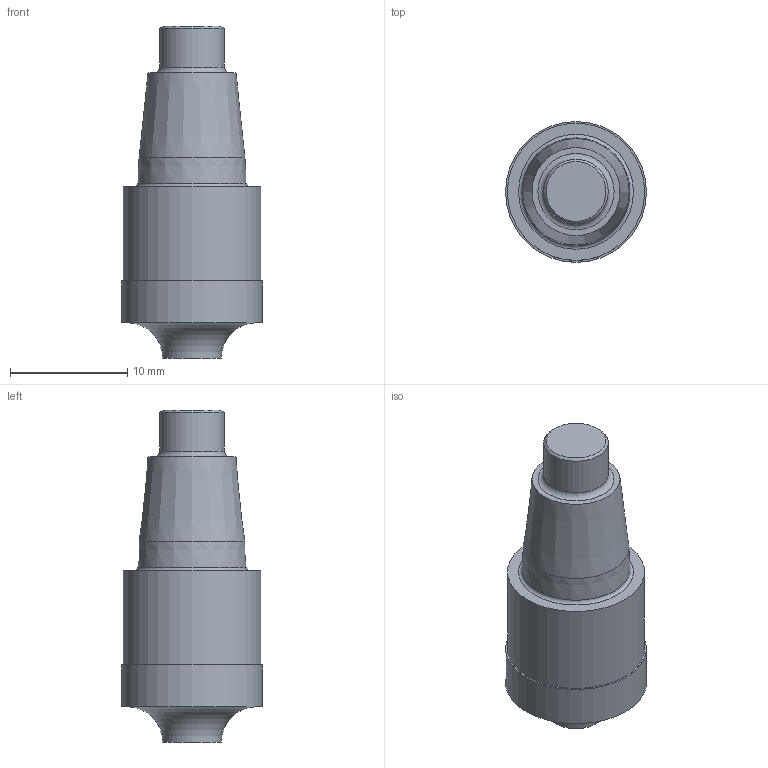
import cadquery as cq
import math

collar_radius = 12.0 / 2
neck_radius = 5.0 / 2
flare_radius = 3.0
collar_top = 6.57

barrel_radius = 11.7 / 2
barrel_top = 14.6
nose_base_radius = 4.6
nose_base_fillet = 0.3
taper_start = 17.1
taper_angle = math.radians(6.0)
shoulder_radius = 3.75
pin_radius = 5.5 / 2
pin_length = 4.0
pin_fillet = 0.5
pin_chamfer = 0.2
total_height = 28.3

shoulder_z = total_height - pin_length
taper_start_radius = shoulder_radius + (shoulder_z - taper_start) * math.tan(taper_angle)
QUARTER_POINT = math.sqrt(0.5)


def revolve_about_z(outline):
    """Spin a closed half-outline, drawn as (radius, height), about the Z axis."""
    return outline.close().revolve(360, (0, 0, 0), (0, 1, 0))


def add_root_fillet(outline, wall_radius, floor_z, fillet):
    """Add a flat floor up to a concave quarter-round that ends on the wall above it."""
    inset = fillet * (1 - QUARTER_POINT)
    return outline.lineTo(wall_radius + fillet, floor_z).threePointArc(
        (wall_radius + inset, floor_z + inset),
        (wall_radius, floor_z + fillet),
    )


def make_collar():
    flare_offset = flare_radius * (1 - QUARTER_POINT)
    outline = (
        cq.Workplane("XZ")
        .lineTo(neck_radius, 0)
        .threePointArc(
            (neck_radius + flare_offset, flare_radius * QUARTER_POINT),
            (neck_radius + flare_radius, flare_radius),
        )
        .lineTo(collar_radius, flare_radius)
        .lineTo(collar_radius, collar_top)
        .lineTo(0, collar_top)
    )
    return revolve_about_z(outline)


def make_stem():
    outline = (
        cq.Workplane("XZ")
        .moveTo(0, collar_top)
        .lineTo(barrel_radius, collar_top)
        .lineTo(barrel_radius, barrel_top)
    )
    outline = add_root_fillet(outline, nose_base_radius, barrel_top, nose_base_fillet)
    outline = outline.tangentArcPoint((taper_start_radius, taper_start), relative=False)
    outline = outline.lineTo(shoulder_radius, shoulder_z)
    outline = add_root_fillet(outline, pin_radius, shoulder_z, pin_fillet)
    outline = (
        outline.lineTo(pin_radius, total_height - pin_chamfer)
        .lineTo(pin_radius - pin_chamfer, total_height)
        .lineTo(0, total_height)
    )
    return revolve_about_z(outline)


collar = make_collar()
stem = make_stem()

result = cq.Compound.makeCompound([collar.val(), stem.val()])